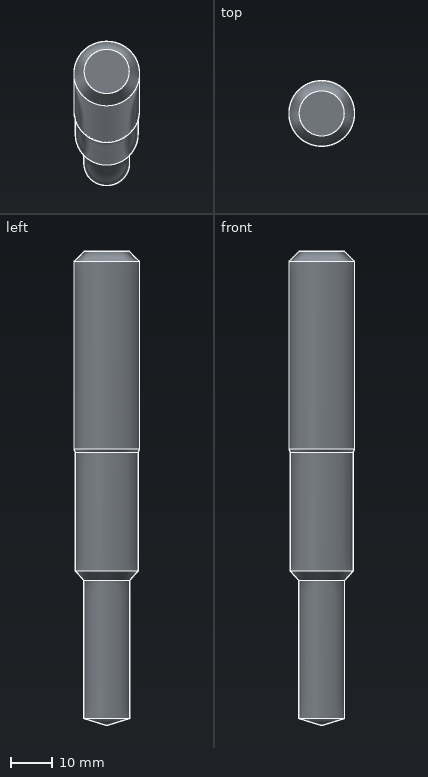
import cadquery as cq

total_length = 115.0
shank_diameter = 16.0
shank_bottom = 67.0
top_chamfer = 2.5
collar_diameter = 15.3
shoulder_height = 0.8
collar_bottom = 37.5
collar_taper_height = 2.3
pin_diameter = 11.2
tip_height = 1.7

shank_radius = shank_diameter / 2
collar_radius = collar_diameter / 2
pin_radius = pin_diameter / 2
body_bottom = collar_bottom - collar_taper_height


def revolve_profile(points):
    """Turn a closed (radius, height) outline about the Z axis."""
    return cq.Workplane("XZ").polyline(points).close().revolve(360, (0, 0), (0, 1))


def make_holder():
    """Stepped round holder with a chamfered top and a lower end tapering to the pin."""
    return revolve_profile([
        (0, body_bottom),
        (pin_radius, body_bottom),
        (collar_radius, collar_bottom),
        (collar_radius, shank_bottom - shoulder_height),
        (shank_radius, shank_bottom),
        (shank_radius, total_length - top_chamfer),
        (shank_radius - top_chamfer, total_length),
        (0, total_length),
    ])


def make_pin():
    """Round pin with a shallow conical tip, seated against the holder's lower end."""
    return revolve_profile([
        (0, 0),
        (pin_radius, tip_height),
        (pin_radius, body_bottom),
        (0, body_bottom),
    ])


holder = make_holder()
pin = make_pin()

result = cq.Compound.makeCompound([holder.val(), pin.val()])